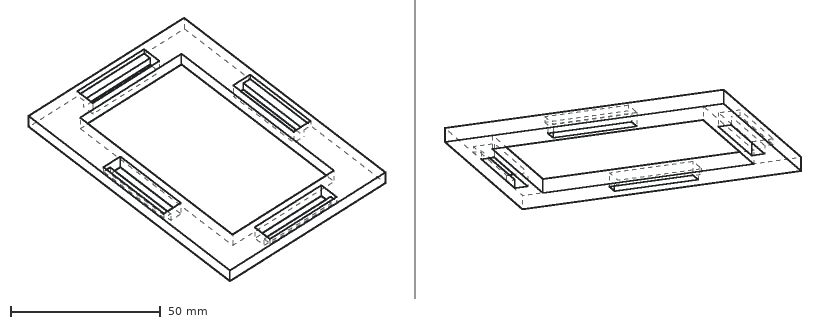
import cadquery as cq

length = 100.0
width = 70.0
thickness = 5.0
border = 12.2

slot_length = 30.0
slot_width = 7.6
ledge_width = 3.0
ledge_depth = 2.0
long_side_margin = 2.0
short_side_margin = 2.2


def slot_cutter(outer, angle):
    """Slot whose outer wall is at distance outer along +Y, turned about Z by angle degrees."""
    inner = outer - slot_width
    ledge_edge = outer - ledge_width
    ledge_height = thickness - ledge_depth
    profile = [
        (inner, 0),
        (ledge_edge, 0),
        (ledge_edge, ledge_height),
        (outer, ledge_height),
        (outer, thickness),
        (inner, thickness),
    ]
    cutter = cq.Workplane("YZ").polyline(profile).close().extrude(slot_length / 2, both=True)
    return cutter.rotate((0, 0, 0), (0, 0, 1), angle)


frame = cq.Workplane("XY").box(length, width, thickness, centered=(True, True, False))
window = cq.Workplane("XY").box(
    length - 2 * border, width - 2 * border, thickness, centered=(True, True, False)
)
result = frame.cut(window)

for half_turn in (0, 180):
    result = result.cut(slot_cutter(width / 2 - long_side_margin, half_turn))
    result = result.cut(slot_cutter(length / 2 - short_side_margin, half_turn + 90))